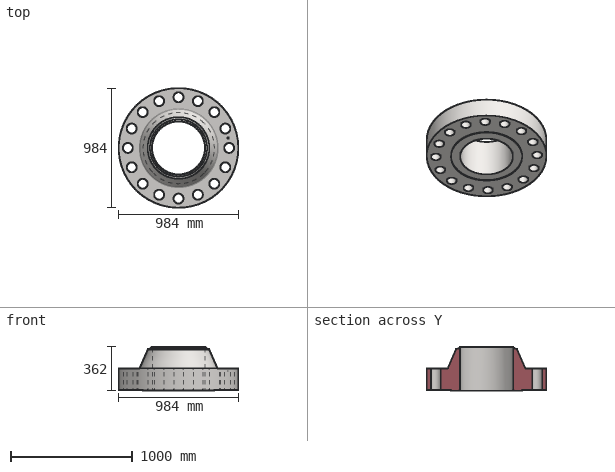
import cadquery as cq
import math

flange_radius = 984 / 2
flange_thickness = 178.0
raised_face_radius = 584.0 / 2
raised_face_height = 7.0

bore_radius = 433.0 / 2
neck_height = 177.0
neck_base_radius = 642.0 / 2
neck_root_fillet = 3.0
neck_top_radius = 507.0 / 2
neck_rim_height = 6.0
shoulder_drop = 17.0
shoulder_rise = 3.0
bevel_foot_radius = 470.0 / 2
weld_land = 3.0

bolt_count = 16
bolt_circle_radius = 831.0 / 2
bolt_hole_diameter = 80.0

pin_hole_diameter = 12.0
pin_hole_depth = 20.0

flange_bottom = raised_face_height
flange_top = flange_bottom + flange_thickness
total_height = flange_top + neck_height
shoulder_edge = total_height - shoulder_drop
bolt_pitch = 360 / bolt_count


def point_on_bolt_circle(angle):
    """Return the XY point on the bolt circle at an angle in degrees from +X."""
    turn = math.radians(angle)
    return (bolt_circle_radius * math.cos(turn), bolt_circle_radius * math.sin(turn))


def make_body():
    """Revolve the half section (radius, height) about Z and round the neck root."""
    section = [
        (bore_radius, 0),
        (raised_face_radius, 0),
        (raised_face_radius, flange_bottom),
        (flange_radius, flange_bottom),
        (flange_radius, flange_top),
        (neck_base_radius, flange_top),
        (neck_top_radius, shoulder_edge - neck_rim_height),
        (neck_top_radius, shoulder_edge),
        (bevel_foot_radius, shoulder_edge + shoulder_rise),
        (bore_radius + weld_land, total_height),
        (bore_radius, total_height),
    ]
    body = cq.Workplane("XZ").polyline(section).close().revolve(360, (0, 0, 0), (0, 1, 0))
    neck_root = body.edges("%CIRCLE").edges(cq.selectors.RadiusNthSelector(-2))
    return neck_root.fillet(neck_root_fillet)


def make_bolt_holes():
    """Cylinders through the whole flange, one for each bolt."""
    centres = [point_on_bolt_circle(i * bolt_pitch) for i in range(bolt_count)]
    return cq.Workplane("XY").pushPoints(centres).circle(bolt_hole_diameter / 2).extrude(flange_top)


def make_pin_hole():
    """Shallow cylinder sunk into the upper flange face."""
    floor = cq.Workplane("XY").workplane(offset=flange_top - pin_hole_depth)
    centre = point_on_bolt_circle(bolt_pitch / 2)
    return floor.center(*centre).circle(pin_hole_diameter / 2).extrude(pin_hole_depth)


result = make_body().cut(make_bolt_holes()).cut(make_pin_hole())